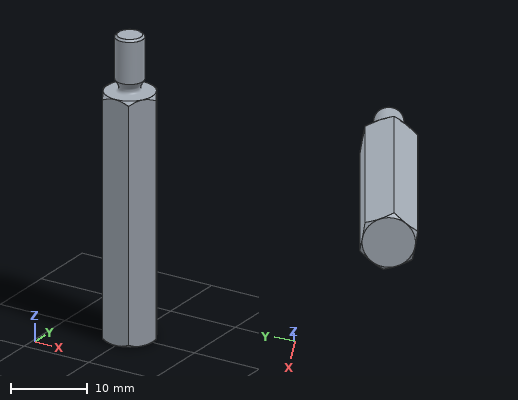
import cadquery as cq
import math

total_length = 43.0
hex_length = 35.0
across_flats = 7.0
across_corners = across_flats / math.cos(math.pi / 6)

end_face_diameter = across_flats - 0.05
corner_chamfer_height = 0.5

stud_diameter = 4.0
tip_chamfer = 0.3

neck_diameter = 2.9
undercut_length = 1.7
taper_angle = math.radians(30)
neck_fillet = 0.47


def make_hex_body():
    """Hexagonal prism with its corners turned down to a cone at each end."""
    prism = cq.Workplane("XY").polygon(6, across_corners).extrude(hex_length)
    face_radius = end_face_diameter / 2
    corner_radius = across_corners / 2
    envelope = (
        cq.Workplane("XZ")
        .lineTo(face_radius, 0)
        .lineTo(corner_radius, corner_chamfer_height)
        .lineTo(corner_radius, hex_length - corner_chamfer_height)
        .lineTo(face_radius, hex_length)
        .lineTo(0, hex_length)
        .close()
        .revolve(360, (0, 0), (0, 1))
    )
    return prism.intersect(envelope)


def make_stud():
    """Turned stud with a neck filleted at both ends, a taper and a chamfered tip."""
    stud_radius = stud_diameter / 2
    neck_radius = neck_diameter / 2
    taper_top = hex_length + undercut_length
    blend_radius = neck_radius + neck_fillet * (1 - math.cos(taper_angle))
    blend_top = taper_top - (stud_radius - blend_radius) / math.tan(taper_angle)
    blend_bottom = blend_top - neck_fillet * math.sin(taper_angle)
    blend_middle = (
        neck_radius + neck_fillet * (1 - math.cos(taper_angle / 2)),
        blend_bottom + neck_fillet * math.sin(taper_angle / 2),
    )
    arc_offset = neck_fillet * (1 - math.sqrt(0.5))
    return (
        cq.Workplane("XZ")
        .moveTo(0, hex_length)
        .lineTo(neck_radius + neck_fillet, hex_length)
        .threePointArc(
            (neck_radius + arc_offset, hex_length + arc_offset),
            (neck_radius, hex_length + neck_fillet),
        )
        .lineTo(neck_radius, blend_bottom)
        .threePointArc(blend_middle, (blend_radius, blend_top))
        .lineTo(stud_radius, taper_top)
        .lineTo(stud_radius, total_length - tip_chamfer)
        .lineTo(stud_radius - tip_chamfer, total_length)
        .lineTo(0, total_length)
        .close()
        .revolve(360, (0, 0), (0, 1))
    )


result = make_hex_body().union(make_stud())